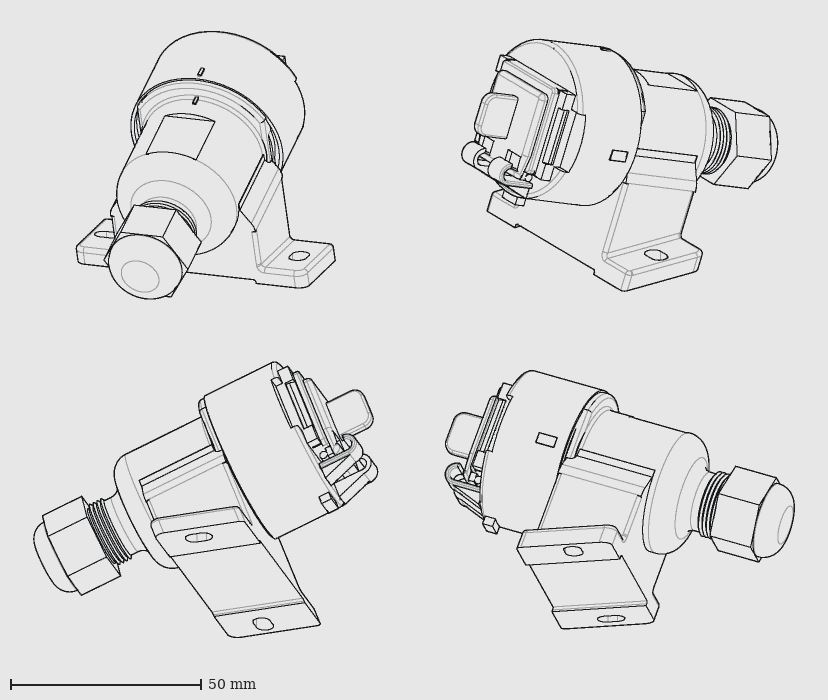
import cadquery as cq
import math

TILT = 20.0
AXIS_BACK_Y = 8.15
AXIS_BACK_Z = 40.1
TILT_RAD = math.radians(TILT)
AXIS_DIR = (0, -math.cos(TILT_RAD), -math.sin(TILT_RAD))
HOUSING_PLANE = cq.Plane((0, AXIS_BACK_Y, AXIS_BACK_Z), (1, 0, 0), AXIS_DIR)

SHELL_R = 21.0
SHELL_END = 20.8
SHELL_BACK_FILLET = 1.0
SIDE_GROOVE_OUTER_R = 20.0
SIDE_GROOVE_INNER_R = 18.2
SIDE_GROOVE_DEPTH = 2.0
COLLAR_R = 20.5
COLLAR_END = 23.1
COLLAR_HALF_WIDTH = 17.6
COLLAR_FILLET = 1.0
BODY_R = 16.45
BODY_BASE_FILLET = 0.8
BULGE_START = 46.4
BULGE_FILLET = 5.35
NECK_R = 8.0
NECK_FILLET = BODY_R - BULGE_FILLET - NECK_R
SIDE_NOTCH_HALF_HEIGHT = 8.0
SIDE_NOTCH_DEPTH = 1.95
FLAT_START = 30.0
FLAT_HEIGHT = 14.9
EMBED = 1.0

MARK_WIDTH = 0.9
MARK_RISE = 0.4
SHELL_MARK = (16.7, 19.5)
BODY_MARK = (COLLAR_END, 25.8)
BUTTON_START = 12.8
BUTTON_LENGTH = 5.1
BUTTON_DROP = 2.8
BUTTON_RISE = 0.25
LUG_START = 1.3
LUG_LENGTH = 2.9
LUG_WIDTH = 6.0
LUG_BOTTOM = -23.0

THREAD_START = 56.95
THREAD_R = 8.85
THREAD_RIDGES = 4
THREAD_PITCH = 1.1
NUT_START = 61.85
NUT_END = 73.45
NUT_ACROSS_FLATS = 20.2
DOME_R = 10.0
DOME_TIP_R = 5.2
DOME_END = 78.5

BRACKET_BACK = 21.1
BRACKET_FRONT = 44.75
COLUMN_HALF_WIDTH = 20.1
SHOULDER_HALF_WIDTH = 16.6
SHOULDER_HEIGHT = -2.0
SHOULDER_FOOT = -7.3
SHOULDER_FILLET = 4.8
COLUMN_TOP = -8.9
FOOT_HALF_WIDTH = 32.0
FOOT_THICKNESS = 5.0
FOOT_BLEND = 1.0
FOOT_FRONT_CORNER = 2.8
FOOT_BACK_CORNER = 1.2
RIM_FILLET = 1.0
RECESS_HALF_WIDTH = 18.25
RECESS_DEPTH = 1.1
RECESS_FILLET = 0.6
SLOT_X = 26.5
SLOT_Y = -14.0
SLOT_LENGTH = 7.2
SLOT_WIDTH = 4.6

FRAME_HALF_WIDTH = 15.4
FRAME_HALF_HEIGHT = 12.0
FRAME_BACK = -3.0
RAIL_INNER = 12.4
RAIL_GROOVE_DEPTH = 2.5
POCKET_HALF_HEIGHT = 7.6
POCKET_MOUTH_X = 13.8
POCKET_WALL_X = 14.65
POCKET_SLOPE_END = -1.6
POCKET_FLOOR = -0.6
LID_HALF_WIDTH = 11.9
LID_BACK = -4.6
LID_CORNER = 1.2
LID_FILLET = 0.5
PANEL_HALF_WIDTH = 10.6
PANEL_TOP = 9.6
PANEL_BACK = -6.7
PANEL_BOTTOM_HALF_WIDTH = 9.2
PANEL_TAPER_TOP = -7.5
HOOK_RECESS_TOP = -8.2
HOOK_RECESS_BOTTOM = -12.2
HOOK_RECESS_FLOOR = -5.2
PANEL_CORNER = 1.5
PANEL_FILLET = 1.2
FIN_WIDTH = 2.7
FIN_BACK = -16.65
FIN_BOTTOM = -6.1
FIN_TOP = 5.5
FIN_CORNER = 2.8
FIN_EDGE_FILLET = 0.6

KNUCKLE_BOTTOM = -14.4
KNUCKLE_FRONT = -3.0
KNUCKLE_FILLET = 1.9
PIN_R = 1.05
PIN_Z = -2.0
PIN_Y = -13.6
HOOK_INNER_X = 3.35
HOOK_OUTER_X = 9.15
HOOK_Z = -8.4
HOOK_Y = -13.5
HOOK_OUTER_R = 3.0
HOOK_INNER_R = 1.7
HOOK_RIM_FILLET = 0.4
GUSSET_BOTTOM = -19.6
GUSSET_INSET = 1.0


def block(x0, x1, y0, y1, z0, z1):
    """Box between two opposite corners."""
    return cq.Workplane("XY").box(x1 - x0, y1 - y0, z1 - z0, centered=False).translate((x0, y0, z0))


def rod(radius, z0, z1):
    """Cylinder on the housing axis."""
    return cq.Workplane("XY", origin=(0, 0, z0)).circle(radius).extrude(z1 - z0)


def side_profile(x0):
    """Workplane at x = x0 whose local axes are z (along the axis) and y (up), facing -x."""
    return cq.Workplane(cq.Plane((x0, 0, 0), (0, 0, 1), (-1, 0, 0)))


def place(shape):
    """Tilt a shape from the housing's own axes into its place over the bracket."""
    return cq.Workplane(shape.val().moved(HOUSING_PLANE.location))


def make_shell():
    """Shell with side notches at the back, grooves in its front rim and a narrower collar."""
    shell = rod(SHELL_R, 0, SHELL_END).faces("<Z").edges().fillet(SHELL_BACK_FILLET)
    for x0, x1 in ((-SHELL_R, -FRAME_HALF_WIDTH), (FRAME_HALF_WIDTH, SHELL_R)):
        notch = block(x0, x1, -SIDE_NOTCH_HALF_HEIGHT, SIDE_NOTCH_HALF_HEIGHT, 0, SIDE_NOTCH_DEPTH)
        shell = shell.cut(notch)
    groove_start = SHELL_END - SIDE_GROOVE_DEPTH
    groove = rod(SIDE_GROOVE_OUTER_R, groove_start, SHELL_END)
    groove = groove.cut(rod(SIDE_GROOVE_INNER_R, groove_start, SHELL_END))
    groove = groove.cut(
        block(-COLLAR_HALF_WIDTH, COLLAR_HALF_WIDTH, -SHELL_R, SHELL_R, groove_start, SHELL_END)
    )
    shell = shell.cut(groove)
    collar = rod(COLLAR_R, SHELL_END, COLLAR_END).intersect(
        block(-COLLAR_HALF_WIDTH, COLLAR_HALF_WIDTH, -COLLAR_R, COLLAR_R, SHELL_END, COLLAR_END)
    )
    collar = collar.faces(">Z").edges().fillet(COLLAR_FILLET)
    return shell.union(collar)


def make_body():
    """Barrel, rounded bulge, neck and thread core as one turned shape."""
    diag = math.sqrt(0.5)
    bulge_r = BODY_R - BULGE_FILLET
    bulge_end = BULGE_START + BULGE_FILLET
    neck_start = bulge_end + NECK_FILLET
    base_bend = 1 - diag
    outline = (
        cq.Workplane("XZ")
        .moveTo(0, SHELL_END)
        .lineTo(BODY_R + BODY_BASE_FILLET, SHELL_END)
        .lineTo(BODY_R + BODY_BASE_FILLET, COLLAR_END)
        .threePointArc(
            (BODY_R + BODY_BASE_FILLET * base_bend, COLLAR_END + BODY_BASE_FILLET * base_bend),
            (BODY_R, COLLAR_END + BODY_BASE_FILLET),
        )
        .lineTo(BODY_R, BULGE_START)
        .threePointArc(
            (bulge_r + BULGE_FILLET * diag, BULGE_START + BULGE_FILLET * diag), (bulge_r, bulge_end)
        )
        .threePointArc(
            (bulge_r - NECK_FILLET * diag, neck_start - NECK_FILLET * diag), (NECK_R, neck_start)
        )
        .lineTo(NECK_R, NUT_START)
        .lineTo(0, NUT_START)
        .close()
    )
    body = outline.revolve(360, (0, 0, 0), (0, 1, 0))
    return body.cut(block(-BODY_R, BODY_R, FLAT_HEIGHT, BODY_R, FLAT_START, BULGE_START))


def make_marks():
    """Alignment marks, side button and the lug under the shell."""
    half = MARK_WIDTH / 2
    marks = block(-half, half, BODY_R - EMBED, BODY_R + MARK_RISE, *BODY_MARK)
    marks = marks.union(block(-half, half, SHELL_R - EMBED, SHELL_R + MARK_RISE, *SHELL_MARK))
    button_end = BUTTON_START + BUTTON_LENGTH
    button = block(-SHELL_R - BUTTON_RISE, EMBED - SHELL_R, -BUTTON_DROP, 0, BUTTON_START, button_end)
    lug_end = LUG_START + LUG_LENGTH
    lug = block(-LUG_WIDTH / 2, LUG_WIDTH / 2, LUG_BOTTOM, EMBED - SHELL_R, LUG_START, lug_end)
    return marks.union(button).union(lug)


def make_gland():
    """Hexagonal nut with a domed end, and the thread ridges behind it."""
    nut_corners = NUT_ACROSS_FLATS / math.cos(math.pi / 6)
    nut = cq.Workplane("XY", origin=(0, 0, NUT_START)).polygon(6, nut_corners).extrude(NUT_END - NUT_START)
    dome = rod(DOME_R, NUT_END, DOME_END).faces(">Z").edges().fillet(DOME_R - DOME_TIP_R)
    gland = nut.union(dome)
    for i in range(THREAD_RIDGES):
        z = THREAD_START + i * THREAD_PITCH
        ridge = (
            cq.Workplane("XZ")
            .polyline([(0, z), (NECK_R, z), (THREAD_R, z + THREAD_PITCH / 2), (NECK_R, z + THREAD_PITCH),
                       (0, z + THREAD_PITCH)])
            .close()
            .revolve(360, (0, 0, 0), (0, 1, 0))
        )
        gland = gland.union(ridge)
    return gland


def make_cover():
    """Frame with side rails, lid, raised panel and grip fin on the back of the shell."""
    frame = block(
        -FRAME_HALF_WIDTH, FRAME_HALF_WIDTH, -FRAME_HALF_HEIGHT, FRAME_HALF_HEIGHT,
        FRAME_BACK, SIDE_NOTCH_DEPTH,
    )
    pocket = (
        cq.Workplane("XZ", origin=(0, POCKET_HALF_HEIGHT, 0))
        .moveTo(POCKET_MOUTH_X, FRAME_BACK)
        .lineTo(POCKET_WALL_X, POCKET_SLOPE_END)
        .lineTo(POCKET_WALL_X, POCKET_FLOOR)
        .lineTo(FRAME_HALF_WIDTH, POCKET_FLOOR)
        .lineTo(FRAME_HALF_WIDTH, FRAME_BACK)
        .close()
        .extrude(2 * POCKET_HALF_HEIGHT)
    )
    frame = frame.cut(pocket).cut(pocket.mirror("YZ"))
    for x0, x1 in ((-RAIL_INNER, -LID_HALF_WIDTH), (LID_HALF_WIDTH, RAIL_INNER)):
        groove_end = FRAME_BACK + RAIL_GROOVE_DEPTH
        frame = frame.cut(block(x0, x1, -FRAME_HALF_HEIGHT, FRAME_HALF_HEIGHT, FRAME_BACK, groove_end))
    lid = block(
        -LID_HALF_WIDTH, LID_HALF_WIDTH, -FRAME_HALF_HEIGHT, FRAME_HALF_HEIGHT, LID_BACK, FRAME_BACK
    )
    lid = lid.edges("|Z").fillet(LID_CORNER)
    lid = lid.faces("<Z").edges().fillet(LID_FILLET)
    panel = (
        cq.Workplane("XY", origin=(0, 0, PANEL_BACK))
        .polyline([
            (-PANEL_BOTTOM_HALF_WIDTH, KNUCKLE_BOTTOM), (-PANEL_HALF_WIDTH, PANEL_TAPER_TOP),
            (-PANEL_HALF_WIDTH, PANEL_TOP), (PANEL_HALF_WIDTH, PANEL_TOP),
            (PANEL_HALF_WIDTH, PANEL_TAPER_TOP), (PANEL_BOTTOM_HALF_WIDTH, KNUCKLE_BOTTOM)])
        .close()
        .extrude(LID_BACK - PANEL_BACK)
    )
    panel = panel.edges("|Z and >Y").fillet(PANEL_CORNER)
    panel = panel.faces("<Z").edges("<Y").fillet(KNUCKLE_FILLET)
    panel = panel.faces("<Z").edges("not <Y").fillet(PANEL_FILLET)
    hook_recess = block(
        HOOK_INNER_X, HOOK_OUTER_X, HOOK_RECESS_BOTTOM, HOOK_RECESS_TOP, PANEL_BACK, HOOK_RECESS_FLOOR
    )
    panel = panel.cut(hook_recess).cut(hook_recess.mirror("YZ"))
    fin = block(-FIN_WIDTH / 2, FIN_WIDTH / 2, FIN_BOTTOM, FIN_TOP, FIN_BACK, LID_BACK)
    fin = fin.edges("|X and <Z").fillet(FIN_CORNER)
    fin = fin.faces("<X or >X").edges("not >Z").fillet(FIN_EDGE_FILLET)
    return frame.union(lid).union(panel).union(fin)


def make_hinge():
    """Knuckle below the lid and the pin it turns on."""
    knuckle = block(
        -HOOK_OUTER_X, HOOK_OUTER_X, KNUCKLE_BOTTOM, -FRAME_HALF_HEIGHT, LID_BACK, KNUCKLE_FRONT
    )
    pin = side_profile(HOOK_OUTER_X).center(PIN_Z, PIN_Y).circle(PIN_R).extrude(2 * HOOK_OUTER_X)
    return knuckle.union(pin)


def make_hooks():
    """Two curled hooks, each on an arm with a gusset below."""
    arm_top = HOOK_Y - HOOK_INNER_R
    arm_bottom = HOOK_Y - HOOK_OUTER_R
    width = HOOK_OUTER_X - HOOK_INNER_X
    hook = (
        side_profile(HOOK_OUTER_X)
        .moveTo(0, arm_top)
        .lineTo(HOOK_Z, arm_top)
        .threePointArc((HOOK_Z - HOOK_INNER_R, HOOK_Y), (HOOK_Z, HOOK_Y + HOOK_INNER_R))
        .lineTo(HOOK_Z, HOOK_Y + HOOK_OUTER_R)
        .threePointArc((HOOK_Z - HOOK_OUTER_R, HOOK_Y), (HOOK_Z, arm_bottom))
        .lineTo(0, arm_bottom)
        .close()
        .extrude(width)
    )
    hook = hook.faces(">X").edges("not >Z").fillet(HOOK_RIM_FILLET)
    gusset = (
        side_profile(HOOK_OUTER_X - GUSSET_INSET)
        .polyline([(0, arm_bottom), (HOOK_Z, arm_bottom), (0, GUSSET_BOTTOM)])
        .close()
        .extrude(width - GUSSET_INSET)
    )
    hook = hook.union(gusset)
    return hook.union(hook.mirror("YZ"))


def make_shoulders():
    """Upper end of the bracket, sloping in to the sides of the barrel."""
    shoulders = (
        cq.Workplane("XY", origin=(0, 0, BRACKET_BACK))
        .moveTo(-COLUMN_HALF_WIDTH, COLUMN_TOP)
        .lineTo(-COLUMN_HALF_WIDTH, SHOULDER_FOOT)
        .lineTo(-SHOULDER_HALF_WIDTH, SHOULDER_HEIGHT)
        .lineTo(-SHOULDER_HALF_WIDTH, 0)
        .lineTo(SHOULDER_HALF_WIDTH, 0)
        .lineTo(SHOULDER_HALF_WIDTH, SHOULDER_HEIGHT)
        .lineTo(COLUMN_HALF_WIDTH, SHOULDER_FOOT)
        .lineTo(COLUMN_HALF_WIDTH, COLUMN_TOP)
        .close()
        .extrude(BRACKET_FRONT - BRACKET_BACK)
    )
    for side in (-1, 1):
        bend = cq.NearestToPointSelector(
            (side * COLUMN_HALF_WIDTH, SHOULDER_FOOT, (BRACKET_BACK + BRACKET_FRONT) / 2)
        )
        shoulders = shoulders.edges(bend).fillet(SHOULDER_FILLET)
    return place(shoulders)


def make_bracket():
    """Column under the housing with two slotted feet on the ground plane."""
    reach = 2 * FOOT_HALF_WIDTH
    above_ground = block(-reach, reach, -reach, reach, 0, reach)
    between_ends = place(block(-reach, reach, -reach, reach, BRACKET_BACK, BRACKET_FRONT))
    column = place(
        block(-COLUMN_HALF_WIDTH, COLUMN_HALF_WIDTH, -reach, COLUMN_TOP, BRACKET_BACK, BRACKET_FRONT)
    ).intersect(above_ground)
    feet = block(-FOOT_HALF_WIDTH, FOOT_HALF_WIDTH, -reach, reach, 0, FOOT_THICKNESS)
    feet = feet.intersect(between_ends)
    foot_ends = cq.selectors.ParallelDirSelector(HOUSING_PLANE.yDir)
    feet = feet.edges(foot_ends).edges("<Y").fillet(FOOT_FRONT_CORNER)
    feet = feet.edges(foot_ends).edges(">Y").fillet(FOOT_BACK_CORNER)
    bracket = column.union(feet)

    for side in (-1, 1):
        corner = cq.NearestToPointSelector((side * COLUMN_HALF_WIDTH, SLOT_Y, FOOT_THICKNESS))
        bracket = bracket.edges(corner).fillet(FOOT_BLEND)
    for side in (-1, 1):
        rim = cq.NearestToPointSelector((side * FOOT_HALF_WIDTH, SLOT_Y, FOOT_THICKNESS))
        bracket = bracket.edges(rim).fillet(RIM_FILLET)

    recess = block(-RECESS_HALF_WIDTH, RECESS_HALF_WIDTH, -reach, reach, -RECESS_DEPTH, RECESS_DEPTH)
    recess = recess.edges("|Y and >Z").fillet(RECESS_FILLET)
    for side, angle in ((-1, 0), (1, 90)):
        slot = cq.Workplane("XY").center(side * SLOT_X, SLOT_Y).slot2D(SLOT_LENGTH, SLOT_WIDTH, angle)
        bracket = bracket.cut(slot.extrude(FOOT_THICKNESS))
    return bracket.union(make_shoulders()).cut(recess)


housing = make_shell()
for piece in (make_body(), make_marks(), make_gland(), make_cover(), make_hinge(), make_hooks()):
    housing = housing.union(piece)
result = place(housing).union(make_bracket())